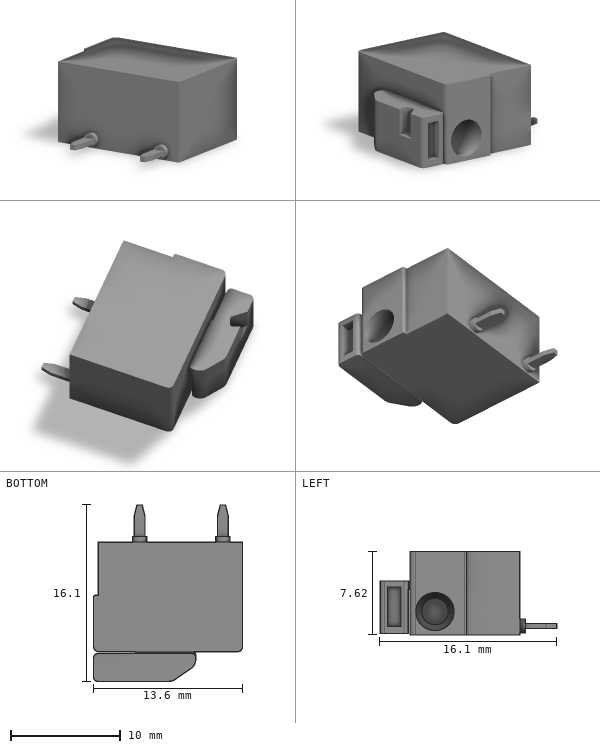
import cadquery as cq
import math


total_depth = 16.1

length = 13.6
depth = 10.01
width = 7.62
step_inset = 0.42
step_y = 4.85
step_radius = 0.2
corner_radius = 0.5

wire_hole_y = depth - 2.29
wire_hole_z = 2.14
wire_bore_radius = 1.74
wire_bore_depth = 4.02
wire_cone_length = 1.0
wire_cone_end_radius = 1.2

pin_z = 0.82
pin_x_first = 4.2
pin_pitch = 7.6
pin_count = 2
pin_collar_radius = 0.66
pin_collar_height = 0.5
pin_length = 3.38
pin_width = 1.0
pin_tip_width = 0.5
pin_taper_length = 1.0
pin_thickness = 0.5

lever_gap = 0.15
lever_length = 9.34
lever_top = total_depth - pin_length
lever_bottom = depth + lever_gap
lever_z = 0.13
lever_width = 4.81
lever_corner_radius = 0.4
lever_slope_radius = 1.05
slope_start_x = 7.16
slope_end_y = lever_top - 1.48

neck_start_x = 3.82
neck_height = 0.77
neck_embed = 0.1

pocket_y = lever_top - 1.9
pocket_size_y = 1.25
pocket_z = 0.77
pocket_size_z = 3.59
pocket_depth = 0.97

notch_start_x = 1.79
notch_top_width = 1.7
notch_tip_x = 2.91
notch_tip_drop = 1.27
notch_side_x = 3.86
notch_side_drop = 0.87
notch_radius = 0.29
notch_depth = lever_width / 2


def make_housing():
    outline = [
        (step_inset, 0),
        (length, 0),
        (length, depth),
        (0, depth),
        (0, step_y),
        (step_inset, step_y),
    ]
    block = cq.Workplane("XY").polyline(outline).close().extrude(width)
    block = block.edges("|Z and >Y").fillet(corner_radius)
    return block.edges("|Z and <X").edges("<Y").fillet(step_radius)


def make_wire_hole():
    taper = math.degrees(math.atan((wire_bore_radius - wire_cone_end_radius) / wire_cone_length))
    bore = (
        cq.Workplane("YZ")
        .center(wire_hole_y, wire_hole_z)
        .circle(wire_bore_radius)
        .extrude(wire_bore_depth)
    )
    cone = (
        cq.Workplane("YZ", origin=(wire_bore_depth, wire_hole_y, wire_hole_z))
        .circle(wire_bore_radius)
        .extrude(wire_cone_length, taper=taper)
    )
    return bore.union(cone)


def make_pin(x):
    collar = (
        cq.Workplane("XZ", origin=(x, 0, pin_z))
        .circle(pin_collar_radius)
        .extrude(pin_collar_height)
    )
    taper_y = pin_taper_length - pin_length
    blade_outline = [
        (-pin_width / 2, 0),
        (-pin_width / 2, taper_y),
        (-pin_tip_width / 2, -pin_length),
        (pin_tip_width / 2, -pin_length),
        (pin_width / 2, taper_y),
        (pin_width / 2, 0),
    ]
    blade = (
        cq.Workplane("XY", origin=(x, 0, pin_z))
        .polyline(blade_outline)
        .close()
        .extrude(pin_thickness / 2, both=True)
    )
    return collar.union(blade)


def make_lever_body():
    outline = [
        (0, lever_bottom),
        (lever_length, lever_bottom),
        (lever_length, slope_end_y),
        (slope_start_x, lever_top),
        (0, lever_top),
    ]
    body = (
        cq.Workplane("XY", origin=(0, 0, lever_z))
        .polyline(outline)
        .close()
        .extrude(lever_width)
    )
    body = body.faces(">(1, 1, 0)").edges("|Z").fillet(lever_slope_radius)
    body = body.edges("|Z and <X").fillet(lever_corner_radius)
    return body.edges("|Z and <Y").edges(">X").fillet(lever_corner_radius)


def make_neck():
    neck_bottom = depth - neck_embed
    neck_top = lever_bottom + lever_corner_radius
    neck = cq.Workplane("XY").box(
        lever_length - neck_start_x,
        neck_top - neck_bottom,
        neck_height,
        centered=False,
    )
    neck = neck.edges("|Z and >X and <Y").fillet(lever_corner_radius)
    return neck.translate((neck_start_x, neck_bottom, lever_z + lever_width - neck_height))


def make_lever_pocket():
    pocket = cq.Workplane("XY").box(pocket_depth, pocket_size_y, pocket_size_z, centered=False)
    return pocket.translate((0, pocket_y, pocket_z))


def make_lever_notch():
    outline = [
        (notch_start_x, lever_top),
        (notch_tip_x, lever_top - notch_tip_drop),
        (notch_side_x, lever_top - notch_side_drop),
        (notch_start_x + notch_top_width, lever_top),
    ]
    notch = (
        cq.Workplane("XY", origin=(0, 0, lever_z + lever_width))
        .polyline(outline)
        .close()
        .extrude(-notch_depth)
    )
    return notch.edges("|Z").edges("not >Y").fillet(notch_radius)


lever = make_lever_body().cut(make_lever_pocket()).cut(make_lever_notch())
result = make_housing().union(make_neck()).union(lever).cut(make_wire_hole())
for index in range(pin_count):
    result = result.union(make_pin(pin_x_first + index * pin_pitch))